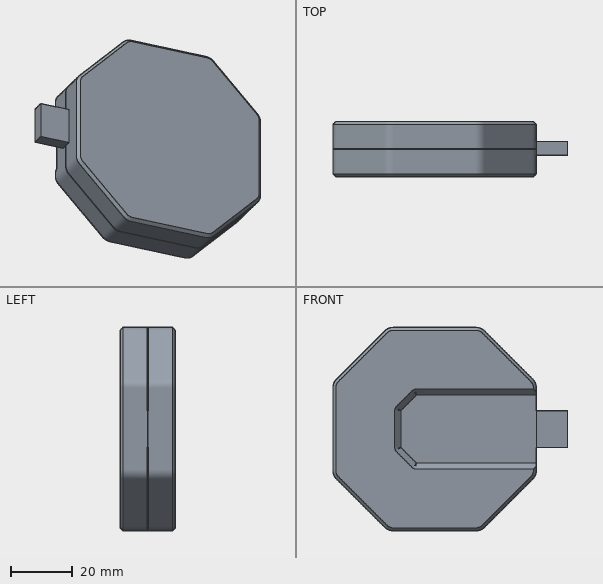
import cadquery as cq
import math

length = 76.15
housing_width = 66.0
housing_depth = 18.0
seam_gap = 0.2

flat_length = 30.0
corner_radius = 3.95
edge_chamfer = 1.0

pocket_depth = 2.0
pocket_flare = 2.0
pocket_floor_height = 22.0
pocket_nose_height = 11.9
pocket_floor_start = -11.0

connector_height = 12.0
connector_thickness = 4.5
connector_offset = 0.2

half_width = housing_width / 2
shell_depth = (housing_depth - seam_gap) / 2
corner_cut = (housing_width - flat_length) / 2
connector_length = length - housing_width


def make_shell(side):
    """Half shell; side is -1 for the front (-Y) half and +1 for the back half."""
    outer_face = "<Y" if side < 0 else ">Y"
    return (
        cq.Workplane("XZ", origin=(0, side * seam_gap / 2, 0))
        .rect(housing_width, housing_width)
        .extrude(-side * shell_depth)
        .edges("|Y")
        .chamfer(corner_cut)
        .edges("|Y")
        .fillet(corner_radius)
        .faces(outer_face)
        .edges()
        .chamfer(edge_chamfer)
    )


def make_pocket():
    """Flared cutter: sharp-cornered floor, walls leaning outwards, cone corners."""
    floor_half = pocket_floor_height / 2
    nose_half = pocket_nose_height / 2
    shoulder_x = pocket_floor_start + floor_half - nose_half
    open_end = half_width + pocket_flare
    flare_angle = math.degrees(math.atan2(pocket_flare, pocket_depth))
    floor_y = pocket_depth - housing_depth / 2
    return (
        cq.Workplane("XZ", origin=(0, floor_y, 0))
        .moveTo(open_end, -floor_half)
        .lineTo(shoulder_x, -floor_half)
        .lineTo(pocket_floor_start, -nose_half)
        .lineTo(pocket_floor_start, nose_half)
        .lineTo(shoulder_x, floor_half)
        .lineTo(open_end, floor_half)
        .close()
        .extrude(pocket_depth, taper=-flare_angle)
    )


def make_connector():
    """Plain bar standing on the +X sides of both shells."""
    return (
        cq.Workplane("XY", origin=(half_width, connector_offset, 0))
        .box(connector_length, connector_thickness, connector_height, centered=(False, True, True))
    )


front_shell = make_shell(-1).cut(make_pocket())
back_shell = make_shell(1)
connector = make_connector()

result = cq.Compound.makeCompound([front_shell.val(), back_shell.val(), connector.val()])